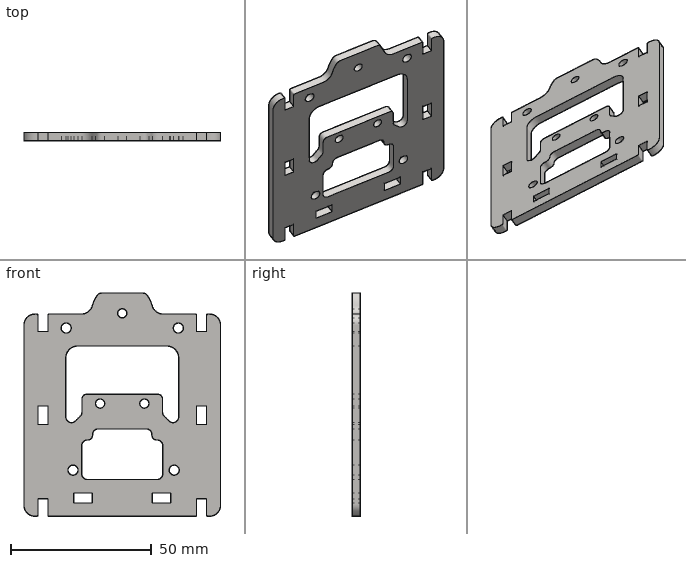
import cadquery as cq
import math

thickness = 3.0
plate_width = 70.0
total_height = 79.5
body_height = 72.0
outer_corner_radius = 4.0

tab_height = total_height - body_height
tab_flat_half_width = 7.3
tab_tip_radius = 2.0
tab_root_radius = 4.0
tip_end_slope = math.radians(54)
root_end_slope = math.radians(75)

slot_width = 3.5
slot_length = 6.5
edge_slot_depth = 6.2
edge_slot_mouth_radius = 0.5
side_slot_x = 28.2
bottom_slot_x = 14.0
bottom_slot_z = 6.5

window_half_width = 20.0
window_top_z = 60.6
window_corner_radius = 4.1
tongue_half_width = 14.4
tongue_top_z = 43.5
tongue_corner_radius = 1.75
foot_bottom_z = 33.4
foot_radius = 2.0

lower_bottom_z = 13.2
lower_shoulder_z = 27.1
lower_top_z = 31.1
lower_neck_half_width = 10.5
lower_window_corner_radius = 1.9

small_hole_diameter = 3.2
large_hole_diameter = 3.5
tab_hole_z = 72.3
top_hole_x = 19.95
top_hole_z = 67.0
tongue_hole_x = 7.9
tongue_hole_z = 40.15
lower_hole_spacing = 36.0
lower_hole_center_x = 0.5
lower_hole_z = 16.45


def prism(points):
    """Extrude a closed XZ outline through the plate thickness, front face at Y = 0."""
    return cq.Workplane("XZ").polyline(points).close().extrude(-thickness)


def symmetric_prism(right_half):
    """Extrude an outline given by its right half, mirrored about X = 0."""
    left_half = [(-x, z) for x, z in reversed(right_half)]
    return prism(right_half + left_half)


def box_cutter(x, z, width, height):
    return cq.Workplane("XZ").center(x, z).rect(width, height).extrude(-thickness)


def round_corners(solid, corners, radius):
    """Fillet the through-thickness edges at the given XZ corners and their mirror images."""
    for x, z in corners:
        for side in (-1, 1):
            edge = cq.selectors.NearestToPointSelector((side * x, thickness / 2, z))
            solid = solid.edges("|Y").edges(edge).fillet(radius)
    return solid


def arc_step(start, radius, start_slope, end_slope):
    """Move down a convex arc between two downhill slope angles and return the end point."""
    x = start[0] + radius * (math.sin(end_slope) - math.sin(start_slope))
    z = start[1] - radius * (math.cos(start_slope) - math.cos(end_slope))
    return (x, z)


def make_body():
    """Rounded plate whose tab has flanks made of three tangent arcs: tip, long side and root."""
    half_width = plate_width / 2
    bottom_corner = (half_width, 0)
    top_corner = (half_width, body_height)

    tip_drop = tab_tip_radius * (1 - math.cos(tip_end_slope))
    root_drop = tab_root_radius * (1 - math.cos(root_end_slope))
    side_drop = tab_height - tip_drop - root_drop
    side_radius = side_drop / (math.cos(tip_end_slope) - math.cos(root_end_slope))

    tip_start = (tab_flat_half_width, total_height)
    tip_end = arc_step(tip_start, tab_tip_radius, 0, tip_end_slope)
    side_end = arc_step(tip_end, side_radius, tip_end_slope, root_end_slope)
    root_end = (side_end[0] + tab_root_radius * math.sin(root_end_slope), body_height)

    body = (
        cq.Workplane("XZ")
        .lineTo(*bottom_corner)
        .lineTo(*top_corner)
        .lineTo(*root_end)
        .radiusArc(side_end, tab_root_radius)
        .radiusArc(tip_end, -side_radius)
        .radiusArc(tip_start, -tab_tip_radius)
        .lineTo(0, total_height)
        .mirrorY()
        .extrude(-thickness)
        .clean()
    )
    return round_corners(body, [bottom_corner, top_corner], outer_corner_radius)


def cut_edge_slots(body):
    """Open slots in the top and bottom edges, with slightly rounded mouths."""
    mouths = []
    for edge_z in (0, body_height):
        for side in (-1, 1):
            body = body.cut(box_cutter(side * side_slot_x, edge_z, slot_width, 2 * edge_slot_depth))
        mouths.append((side_slot_x - slot_width / 2, edge_z))
        mouths.append((side_slot_x + slot_width / 2, edge_z))
    return round_corners(body, mouths, edge_slot_mouth_radius)


def upper_window():
    top_corner = (window_half_width, window_top_z)
    foot_point_z = foot_bottom_z + foot_radius - foot_radius * (1 + math.sqrt(2))
    foot_point = (window_half_width, foot_point_z)
    slope_top = (tongue_half_width, foot_point_z + window_half_width - tongue_half_width)
    tongue_corner = (tongue_half_width, tongue_top_z)

    window = symmetric_prism([top_corner, foot_point, slope_top, tongue_corner])
    window = round_corners(window, [top_corner], window_corner_radius)
    window = round_corners(window, [foot_point, slope_top], foot_radius)
    return round_corners(window, [tongue_corner], tongue_corner_radius)


def lower_window():
    corners = [
        (tongue_half_width, lower_bottom_z),
        (tongue_half_width, lower_shoulder_z),
        (lower_neck_half_width, lower_shoulder_z),
        (lower_neck_half_width, lower_top_z),
    ]
    return round_corners(symmetric_prism(corners), corners, lower_window_corner_radius)


def cut_closed_slots(body):
    for side in (-1, 1):
        body = body.cut(box_cutter(side * side_slot_x, body_height / 2, slot_width, slot_length))
        body = body.cut(box_cutter(side * bottom_slot_x, bottom_slot_z, slot_length, slot_width))
    return body


def cut_holes(body, centers, diameter):
    holes = cq.Workplane("XZ").pushPoints(centers).circle(diameter / 2).extrude(-thickness)
    return body.cut(holes)


small_holes = [
    (0, tab_hole_z),
    (-tongue_hole_x, tongue_hole_z),
    (tongue_hole_x, tongue_hole_z),
]
large_holes = [
    (-top_hole_x, top_hole_z),
    (top_hole_x, top_hole_z),
    (lower_hole_center_x - lower_hole_spacing / 2, lower_hole_z),
    (lower_hole_center_x + lower_hole_spacing / 2, lower_hole_z),
]

result = cut_edge_slots(make_body())
result = result.cut(upper_window()).cut(lower_window())
result = cut_closed_slots(result)
result = cut_holes(result, small_holes, small_hole_diameter)
result = cut_holes(result, large_holes, large_hole_diameter)